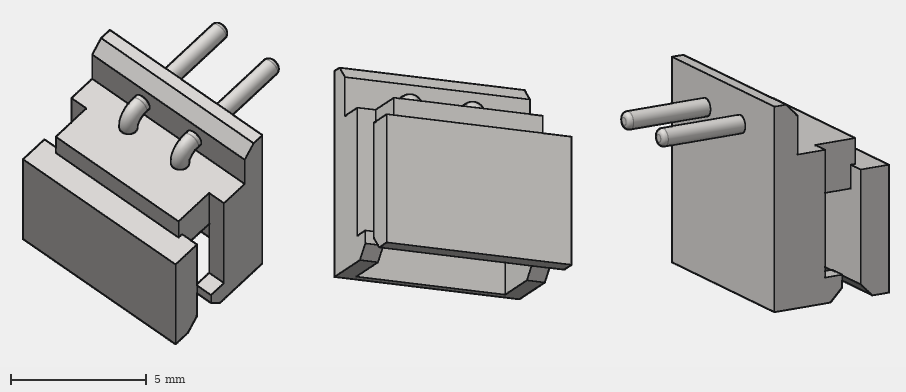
import cadquery as cq

width = 7.4
height = 7.9
pin_tip_y = 8.4

wall_back_y = 4.9
wall_front_y = 3.9
body_front_y = 2.73
shelf_z = 5.905
edge_chamfer = 0.5

side_strip_width = 0.72
recess_back_y = 4.53

hook_front_y = 2.0
hook_top_z = 1.0

plate_thickness = 1.21
plate_top_z = 4.91
bridge_front_y = 1.01
bridge_bottom_z = 4.0

pin_diameter = 0.7
pin_pitch = 2.5
pin_axis_z = 6.59
pin_bend_radius = 0.62
pin_foot_y = 3.1
pin_root_depth = 0.42
tip_rounding = 0.2


def extrude_across_width(points):
    """Extrude a closed (y, z) profile over the full width."""
    return cq.Workplane("YZ").polyline(points).close().extrude(width)


def make_body():
    """Rear wall, shelf and hook in one profile."""
    return extrude_across_width([
        (wall_back_y, 0),
        (wall_back_y, height),
        (wall_front_y + edge_chamfer, height),
        (wall_front_y, height - edge_chamfer),
        (wall_front_y, shelf_z),
        (body_front_y, shelf_z),
        (body_front_y, hook_top_z),
        (hook_front_y, hook_top_z),
        (hook_front_y, edge_chamfer),
        (hook_front_y + edge_chamfer, 0),
    ])


def make_front_plate():
    """Upright plate with a chamfered lower rear edge."""
    return extrude_across_width([
        (0, 0),
        (0, plate_top_z),
        (plate_thickness, plate_top_z),
        (plate_thickness, edge_chamfer),
        (plate_thickness - edge_chamfer, 0),
    ])


def make_center_block(y_start, y_end, z_start, z_end):
    """Block that fills the width between the side strips."""
    return cq.Workplane("XY").box(
        width - 2 * side_strip_width,
        y_end - y_start,
        z_end - z_start,
        centered=False,
    ).translate((side_strip_width, y_start, z_start))


def make_pin(x):
    """Round pin rising from the shelf, bent rearward, with a rounded tip."""
    root_z = shelf_z - pin_root_depth
    path = (
        cq.Workplane("YZ", origin=(x, 0, 0))
        .moveTo(pin_foot_y, root_z)
        .lineTo(pin_foot_y, pin_axis_z - pin_bend_radius)
        .radiusArc((pin_foot_y + pin_bend_radius, pin_axis_z), pin_bend_radius)
        .lineTo(pin_tip_y, pin_axis_z)
    )
    pin = (
        cq.Workplane("XY", origin=(x, pin_foot_y, root_z))
        .circle(pin_diameter / 2)
        .sweep(path)
    )
    return pin.faces(">Y").edges().fillet(tip_rounding)


recess = make_center_block(hook_front_y, recess_back_y, 0, bridge_bottom_z)
bridge = make_center_block(bridge_front_y, body_front_y, bridge_bottom_z, shelf_z)

result = make_body().cut(recess).union(make_front_plate()).union(bridge)
for side in (-1, 1):
    result = result.union(make_pin(width / 2 + side * pin_pitch / 2))